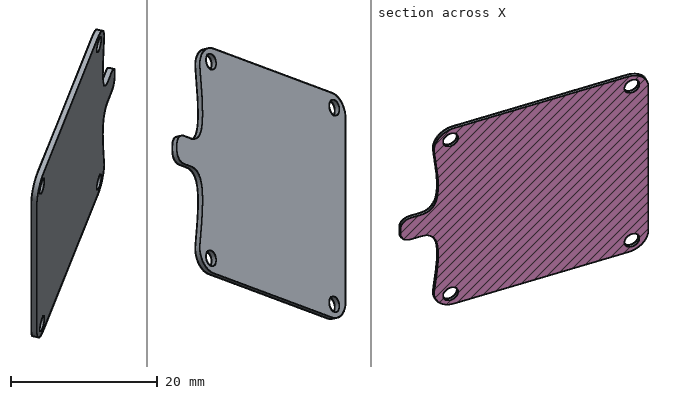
import cadquery as cq

thickness = 0.8
plate_side = 32.0
overall_length = 37.0
corner_radius = 3.0
tab_width = 4.0
tab_corner_radius = 1.5
tab_straight = 1.55
hole_diameter = 2.2
hole_spacing_y = 27.0
hole_spacing_z = 28.0

corner_handle_y = 0.7
corner_handle_z = 5.75
tab_handle = 3.48

half_side = plate_side / 2
half_tab = tab_width / 2
tab_tip_y = overall_length - half_side
tab_root_y = tab_tip_y - tab_corner_radius - tab_straight
corner_start_z = half_side - corner_radius


def wavy_edge(side):
    """Control points from the plate corner to the tab; side is +1 (top) or -1 (bottom)."""
    return [
        (half_side, side * corner_start_z),
        (half_side - corner_handle_y, side * (corner_start_z - corner_handle_z)),
        (tab_root_y - tab_handle, side * half_tab),
        (tab_root_y, side * half_tab),
    ]


def make_blank():
    """Plate and tab outline, extruded symmetrically about X = 0."""
    tab_flat_y = tab_tip_y - tab_corner_radius
    tab_flat_z = half_tab - tab_corner_radius
    return (
        cq.Workplane("YZ", origin=(-thickness / 2, 0, 0))
        .moveTo(-corner_start_z, half_side)
        .lineTo(corner_start_z, half_side)
        .radiusArc((half_side, corner_start_z), corner_radius)
        .bezier(wavy_edge(1)[1:], includeCurrent=True)
        .lineTo(tab_flat_y, half_tab)
        .radiusArc((tab_tip_y, tab_flat_z), tab_corner_radius)
        .lineTo(tab_tip_y, -tab_flat_z)
        .radiusArc((tab_flat_y, -half_tab), tab_corner_radius)
        .lineTo(tab_root_y, -half_tab)
        .bezier(wavy_edge(-1)[-2::-1], includeCurrent=True)
        .radiusArc((corner_start_z, -half_side), corner_radius)
        .lineTo(-corner_start_z, -half_side)
        .radiusArc((-half_side, -corner_start_z), corner_radius)
        .lineTo(-half_side, corner_start_z)
        .radiusArc((-corner_start_z, half_side), corner_radius)
        .close()
        .extrude(thickness)
    )


def make_holes():
    """Cutters for the four corner holes, through the full thickness."""
    return (
        cq.Workplane("YZ", origin=(-thickness / 2, 0, 0))
        .rect(hole_spacing_y, hole_spacing_z, forConstruction=True)
        .vertices()
        .circle(hole_diameter / 2)
        .extrude(thickness)
    )


result = make_blank().cut(make_holes())